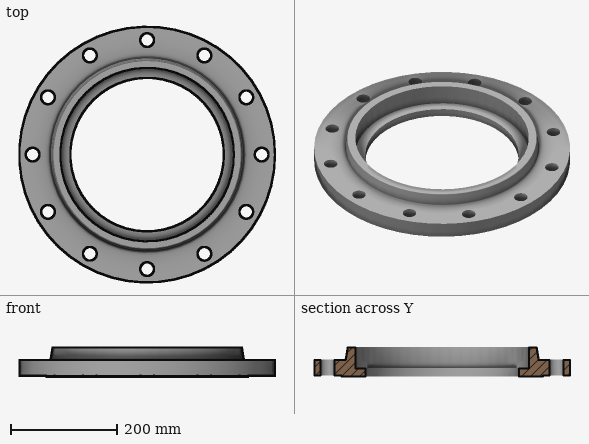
import cadquery as cq

flange_diameter = 482.6
total_height = 55.44
raised_face_height = 1.6
raised_face_diameter = 381.0
flange_thickness = 30.2

hub_base_diameter = 365.1
hub_top_diameter = 357.3
hub_top_fillet = 1.5
hub_root_fillet = 2.0

bore_diameter = 289.0
socket_diameter = 327.2
socket_depth = 39.5

bolt_count = 12
bolt_circle_diameter = 431.8
bolt_hole_diameter = 25.4

flange_top = raised_face_height + flange_thickness


def make_disc(diameter, height, base_z):
    return cq.Workplane("XY").workplane(offset=base_z).circle(diameter / 2).extrude(height)


def make_body():
    profile = [
        (0, 0),
        (raised_face_diameter / 2, 0),
        (raised_face_diameter / 2, raised_face_height),
        (flange_diameter / 2, raised_face_height),
        (flange_diameter / 2, flange_top),
        (hub_base_diameter / 2, flange_top),
        (hub_top_diameter / 2, total_height),
        (0, total_height),
    ]
    body = cq.Workplane("XZ").polyline(profile).close().revolve(360, (0, 0), (0, 1))
    hub_root_edge = cq.selectors.RadiusNthSelector(1)
    body = body.edges(hub_root_edge).fillet(hub_root_fillet)
    return body.faces(">Z").edges().fillet(hub_top_fillet)


def cut_bore(body):
    body = body.cut(make_disc(bore_diameter, total_height, 0))
    return body.cut(make_disc(socket_diameter, socket_depth, total_height - socket_depth))


def cut_bolt_holes(body):
    holes = (
        cq.Workplane("XY")
        .polarArray(bolt_circle_diameter / 2, 0, 360, bolt_count)
        .circle(bolt_hole_diameter / 2)
        .extrude(total_height)
    )
    return body.cut(holes)


result = cut_bolt_holes(cut_bore(make_body()))